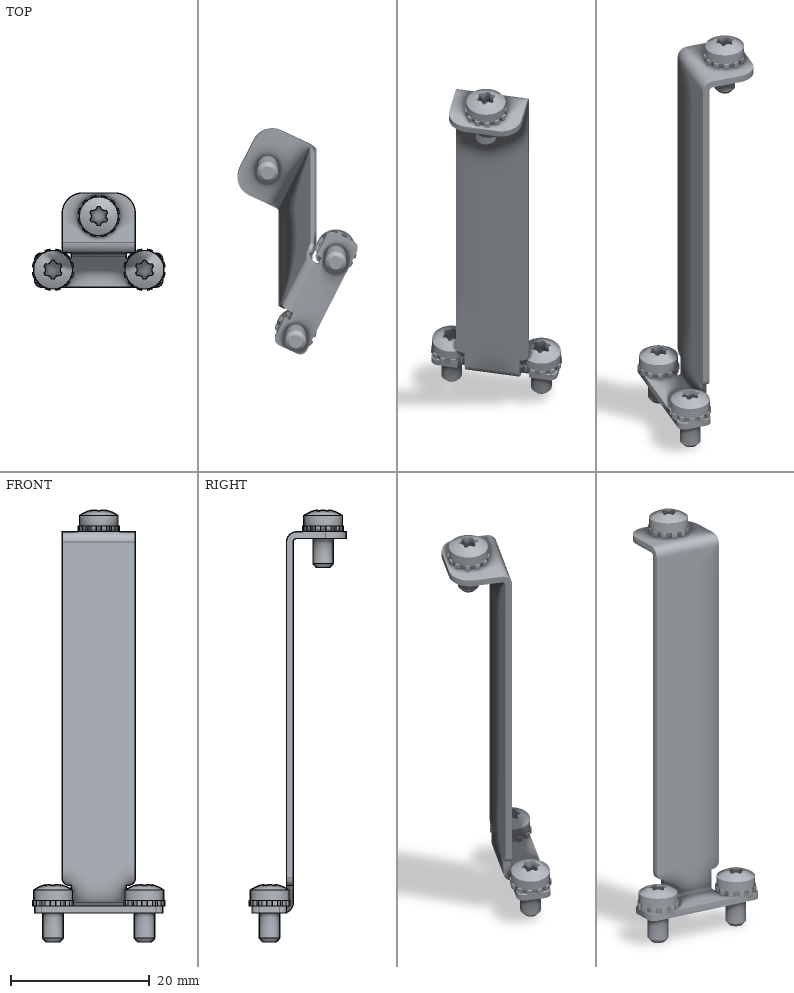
import cadquery as cq
import math

overall_height = 62.3

bracket_height = 55.0
sheet = 1.0
inner_bend = 0.5
outer_bend = inner_bend + sheet
strip_width = 10.6
top_flange_back = 8.65
top_flange_corner = 3.0
bottom_flange_front = -5.0
bottom_flange_width = 18.5
bottom_flange_corner = 1.0

neck_width = 8.0
neck_top = 4.0
shoulder_round = 1.05
relief_front = -0.8

pick_margin = 0.05

shank_radius = 1.5
shank_below_sheet = 4.2
tip_radius = 1.0
tip_height = 0.55
head_radius = 2.8
head_side_height = 1.5
recess_tip_radius = 1.4
recess_valley_radius = 1.05
recess_depth = 2.0
recess_lobes = 6
recess_tip_angle = 18.0

washer_thickness = 0.8
washer_root_radius = 2.55
washer_tip_radius = 3.0
washer_teeth = 12
tooth_angle = 14.0

bottom_screw_spacing = 13.2
bottom_screw_y = -2.4
top_screw_y = 5.3
screw_seats = [
    (-bottom_screw_spacing / 2, bottom_screw_y, sheet),
    (bottom_screw_spacing / 2, bottom_screw_y, sheet),
    (0, top_screw_y, bracket_height),
]

tip_z = -sheet - shank_below_sheet
rim_z = overall_height - shank_below_sheet - bracket_height
dome_edge_z = washer_thickness + head_side_height


def polar(radius, degrees):
    """Point in the XY plane at a radius and an angle."""
    angle = math.radians(degrees)
    return (radius * math.cos(angle), radius * math.sin(angle))


def box(x_size, y_min, y_max, z_min, z_max):
    """Box centred on X, between the given Y and Z limits."""
    block = cq.Workplane("XY").box(x_size, y_max - y_min, z_max - z_min, centered=(True, False, False))
    return block.translate((0, y_min, z_min))


def edges_along_x(y, z):
    """Selector for the edge that runs along X, across the strip, at the given Y and Z."""
    return cq.selectors.BoxSelector(
        (-strip_width, y - pick_margin, z - pick_margin), (strip_width, y + pick_margin, z + pick_margin)
    )


def make_bent_sheet():
    """Bent sheet of the strip width: strip, both bends and both flanges."""
    bent_sheet = (
        cq.Workplane("YZ")
        .moveTo(bottom_flange_front, 0)
        .lineTo(sheet, 0)
        .lineTo(sheet, bracket_height - sheet)
        .lineTo(top_flange_back, bracket_height - sheet)
        .lineTo(top_flange_back, bracket_height)
        .lineTo(0, bracket_height)
        .lineTo(0, sheet)
        .lineTo(bottom_flange_front, sheet)
        .close()
        .extrude(strip_width / 2, both=True)
    )

    bent_sheet = bent_sheet.edges(edges_along_x(sheet, 0)).fillet(outer_bend)
    bent_sheet = bent_sheet.edges(edges_along_x(0, bracket_height)).fillet(outer_bend)
    bent_sheet = bent_sheet.edges(edges_along_x(0, sheet)).fillet(inner_bend)
    return bent_sheet.edges(edges_along_x(sheet, bracket_height - sheet)).fillet(inner_bend)


def make_bracket():
    """Bent bracket with a necked lower end, rounded flanges and screw holes."""
    bracket = make_bent_sheet()
    bracket = bracket.edges("|Z").edges(">Y").fillet(top_flange_corner)

    shoulder_width = (strip_width - neck_width) / 2
    for side in (-1, 1):
        notch_x = side * (neck_width + shoulder_width) / 2
        notch = box(shoulder_width, bottom_flange_front, sheet, 0, neck_top).translate((notch_x, 0, 0))
        bracket = bracket.cut(notch)
    shoulders = cq.selectors.BoxSelector(
        (-strip_width, 0, neck_top - pick_margin), (strip_width, sheet, neck_top + pick_margin)
    )
    bracket = bracket.edges(shoulders).edges("|Y").edges("<X or >X").fillet(shoulder_round)

    flange = box(bottom_flange_width, bottom_flange_front, 0, 0, sheet)
    flange = flange.edges("|Z").fillet(bottom_flange_corner)
    flange = flange.cut(box(strip_width, relief_front, 0, 0, sheet))
    bracket = bracket.union(flange)

    for x, y, z in screw_seats:
        hole = cq.Workplane("XY").circle(shank_radius).extrude(-sheet).translate((x, y, z))
        bracket = bracket.cut(hole)
    return bracket


def make_recess():
    """Six-lobed drive recess, with narrow lobes and rounded ridges between them."""
    pitch = 360 / recess_lobes
    start = 90
    half_tip = recess_tip_angle / 2
    outline = cq.Workplane("XY").moveTo(*polar(recess_tip_radius, start - half_tip))
    for lobe in range(recess_lobes):
        tip = start + lobe * pitch
        outline = outline.threePointArc(
            polar(recess_tip_radius, tip), polar(recess_tip_radius, tip + half_tip)
        ).threePointArc(
            polar(recess_valley_radius, tip + pitch / 2), polar(recess_tip_radius, tip + pitch - half_tip)
        )
    return outline.close().extrude(2 * recess_depth).translate((0, 0, rim_z - recess_depth))


def make_screw():
    """Dome-headed screw, with the sheet surface at Z = 0 and the washer under its head."""
    centre_z = (head_radius**2 - recess_valley_radius**2 + dome_edge_z**2 - rim_z**2) / (
        2 * (dome_edge_z - rim_z)
    )
    dome_radius = math.hypot(head_radius, dome_edge_z - centre_z)
    rim_point = (recess_valley_radius, rim_z)
    screw = (
        cq.Workplane("XZ")
        .moveTo(0, tip_z)
        .lineTo(tip_radius, tip_z)
        .lineTo(shank_radius, tip_z + tip_height)
        .lineTo(shank_radius, washer_thickness)
        .lineTo(head_radius, washer_thickness)
        .lineTo(head_radius, dome_edge_z)
        .threePointArc(rim_point, (0, centre_z + dome_radius))
        .close()
        .revolve(360, (0, 0), (0, 1))
    )
    return screw.cut(make_recess())


def make_washer():
    """Lock washer with outer teeth, placed so that gaps lie on the X and Y axes."""
    pitch = 360 / washer_teeth
    half_tooth = tooth_angle / 2
    outline = cq.Workplane("XY").moveTo(*polar(washer_root_radius, half_tooth - pitch / 2))
    for tooth in range(washer_teeth):
        gap = tooth * pitch
        middle = gap + pitch / 2
        outline = (
            outline.threePointArc(
                polar(washer_root_radius, gap), polar(washer_root_radius, middle - half_tooth)
            )
            .lineTo(*polar(washer_tip_radius, middle - half_tooth))
            .threePointArc(polar(washer_tip_radius, middle), polar(washer_tip_radius, middle + half_tooth))
            .lineTo(*polar(washer_root_radius, middle + half_tooth))
        )
    washer = outline.close().extrude(washer_thickness)
    return washer.cut(cq.Workplane("XY").circle(shank_radius).extrude(washer_thickness))


bracket = make_bracket()
screws = [make_screw().translate(seat) for seat in screw_seats]
washers = [make_washer().translate(seat) for seat in screw_seats]

result = cq.Compound.makeCompound(
    [bracket.val(), *[screw.val() for screw in screws], *[washer.val() for washer in washers]]
)